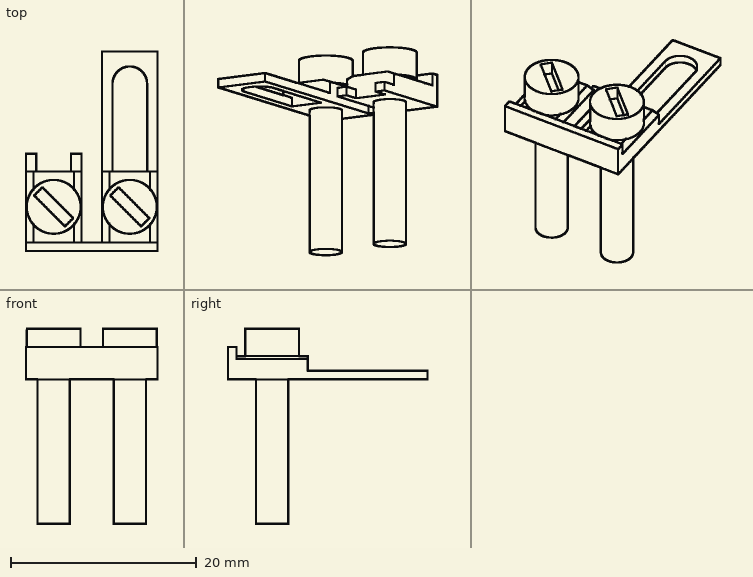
import cadquery as cq

leg_width = 6.0
leg_pitch = 8.2
short_leg_length = 10.5
long_leg_length = 21.5
tongue_thickness = 0.95

block_length = 8.6
block_height = 2.5
bevel_width = 0.82
bevel_height = 0.3

wall_thickness = 0.95
wall_height = 3.5

slot_width = 3.7
slot_end_margin = 1.63

screw_y = 4.77
shank_diameter = 3.5
shank_length = 15.55
head_diameter = 5.8
head_top = 5.46
drive_length = 4.69
drive_width = 1.25
drive_depth = 1.5
drive_angle = -45

leg_centers = [leg_width / 2, leg_width / 2 + leg_pitch]
total_width = leg_width + leg_pitch


def box_from(x_center, y_start, y_end, width, height):
    """Box standing on Z = 0, centred across X."""
    return (
        cq.Workplane("XY")
        .box(width, y_end - y_start, height, centered=(True, False, False))
        .translate((x_center, y_start, 0))
    )


def leg(x_center, length):
    """Flat tongue with a raised block bevelled along both sides."""
    tongue = box_from(x_center, 0, length, leg_width, tongue_thickness)
    half_width = leg_width / 2
    half_flat = half_width - bevel_width
    shoulder = block_height - bevel_height
    block = (
        cq.Workplane("XZ")
        .polyline([
            (-half_width, 0),
            (half_width, 0),
            (half_width, shoulder),
            (half_flat, block_height),
            (-half_flat, block_height),
            (-half_width, shoulder),
        ])
        .close()
        .extrude(-block_length)
        .translate((x_center, 0, 0))
    )
    return tongue.union(block)


def open_fork(x_center):
    """Square opening that runs out through the end of the short tongue."""
    return box_from(x_center, block_length, short_leg_length, slot_width, tongue_thickness)


def round_ended_slot(x_center):
    """Closed slot from the block to a round end near the tip of the long tongue."""
    arc_center_y = long_leg_length - slot_end_margin - slot_width / 2
    straight = box_from(x_center, block_length, arc_center_y, slot_width, tongue_thickness)
    round_end = (
        cq.Workplane("XY")
        .center(x_center, arc_center_y)
        .circle(slot_width / 2)
        .extrude(tongue_thickness)
    )
    return straight.union(round_end)


def screw(x_center):
    """Slotted cylindrical head on a plain shank."""
    shank = cq.Workplane("XY").circle(shank_diameter / 2).extrude(-shank_length)
    core = cq.Workplane("XY").circle(shank_diameter / 2).extrude(block_height)
    head = (
        cq.Workplane("XY")
        .workplane(offset=block_height)
        .circle(head_diameter / 2)
        .extrude(head_top - block_height)
    )
    drive = (
        cq.Workplane("XY")
        .workplane(offset=head_top)
        .transformed(rotate=(0, 0, drive_angle))
        .rect(drive_length, drive_width)
        .extrude(-drive_depth)
    )
    return shank.union(core).union(head).cut(drive).translate((x_center, screw_y, 0))


short_x, long_x = leg_centers
short_leg = leg(short_x, short_leg_length).cut(open_fork(short_x))
long_leg = leg(long_x, long_leg_length).cut(round_ended_slot(long_x))
wall = box_from(total_width / 2, 0, wall_thickness, total_width, wall_height)

result = wall.union(short_leg).union(long_leg)
for x in leg_centers:
    result = result.union(screw(x))